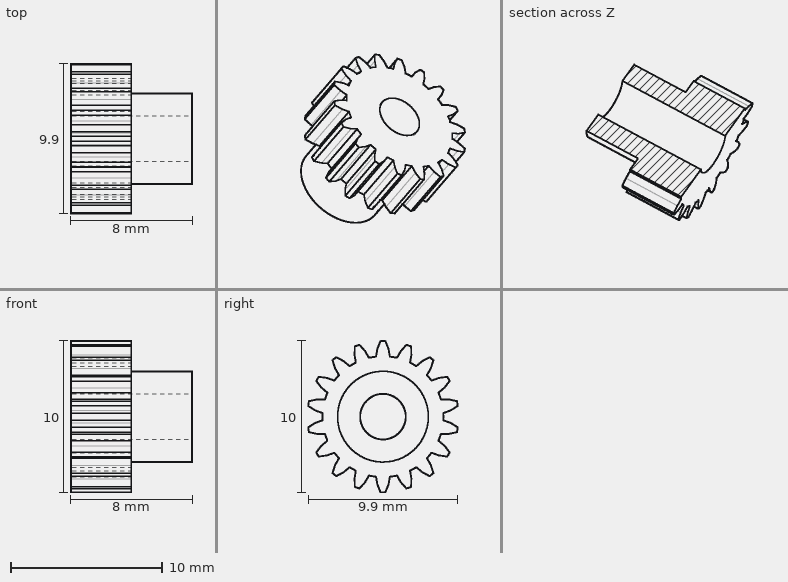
import cadquery as cq
import math

tooth_count = 18
module = 0.5
face_width = 4.0
hub_length = 4.0
hub_diameter = 6.0
bore_diameter = 3.0

tip_thickness = 0.33
pitch_thickness = 0.75
root_thickness = 0.93

pitch_radius = module * tooth_count / 2
tip_radius = pitch_radius + module
root_radius = pitch_radius - module
tooth_pitch_angle = 2 * math.pi / tooth_count


def half_angle(thickness, radius):
    """Half of the angle that a tooth of this chordal thickness spans at a radius."""
    return math.asin(thickness / 2 / radius)


tip_half_angle = half_angle(tip_thickness, tip_radius)
pitch_half_angle = half_angle(pitch_thickness, pitch_radius)
root_half_angle = half_angle(root_thickness, root_radius)


def polar(radius, angle):
    """Point in the YZ plane, with the angle measured from +Z toward +Y."""
    return (radius * math.sin(angle), radius * math.cos(angle))


def make_toothed_wheel():
    """Ring of teeth, the first centred on +Z, with arc lands at the tips and roots."""
    outline = cq.Workplane("YZ").moveTo(*polar(root_radius, -root_half_angle))
    for tooth in range(tooth_count):
        centre = tooth * tooth_pitch_angle
        gap_centre = centre + tooth_pitch_angle / 2
        next_root_angle = centre + tooth_pitch_angle - root_half_angle
        outline = outline.lineTo(*polar(pitch_radius, centre - pitch_half_angle))
        outline = outline.lineTo(*polar(tip_radius, centre - tip_half_angle))
        outline = outline.threePointArc(
            polar(tip_radius, centre),
            polar(tip_radius, centre + tip_half_angle),
        )
        outline = outline.lineTo(*polar(pitch_radius, centre + pitch_half_angle))
        outline = outline.lineTo(*polar(root_radius, centre + root_half_angle))
        outline = outline.threePointArc(
            polar(root_radius, gap_centre),
            polar(root_radius, next_root_angle),
        )
    return outline.close().extrude(face_width)


def make_hub():
    """Plain cylinder continuing from the back face of the toothed wheel."""
    back_face = cq.Workplane("YZ", origin=(face_width, 0, 0))
    return back_face.circle(hub_diameter / 2).extrude(hub_length)


def make_bore():
    """Cylinder running the full length of the gear."""
    return cq.Workplane("YZ").circle(bore_diameter / 2).extrude(face_width + hub_length)


result = make_toothed_wheel().union(make_hub()).cut(make_bore())